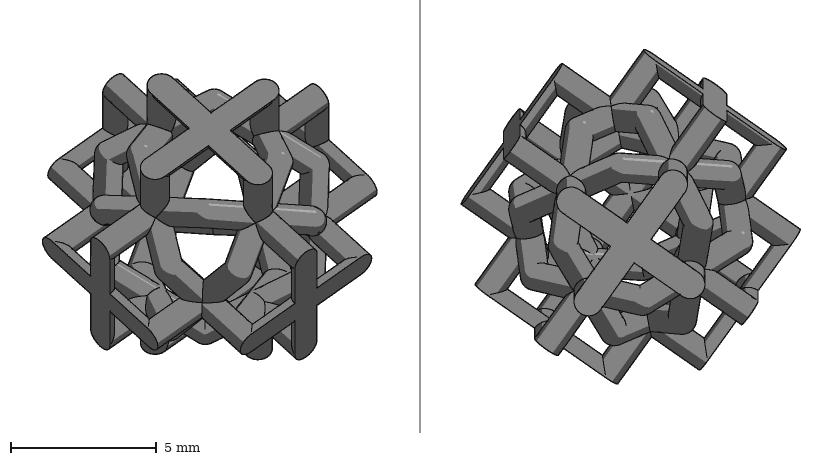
import cadquery as cq

cell_size = 10.0
strut_diameter = 1.0
strut_radius = strut_diameter / 2
face = cell_size / 2
joint = cell_size / 4
knee_inner = cell_size / 6
knee_outer = cell_size / 3
signs = (-1, 1)


def strut(start, end):
    """Round bar between two points."""
    axis = cq.Vector(*end) - cq.Vector(*start)
    return cq.Solid.makeCylinder(strut_radius, axis.Length, cq.Vector(*start), axis)


def ball(center):
    """Sphere that rounds off the struts meeting at a point."""
    return cq.Workplane("XY").sphere(strut_radius).translate(center).val()


def along(axis, depth, u, v):
    """Point at a depth along one axis, with u and v on the next two axes."""
    point = [0, 0, 0]
    point[axis] = depth
    point[(axis + 1) % 3] = u
    point[(axis + 2) % 3] = v
    return tuple(point)


def face_cross(axis, side):
    """Cross lying in one face, with a leg from each arm end in to a joint."""
    outer = side * face
    inner = side * joint
    bars = [
        strut(along(axis, outer, -joint, 0), along(axis, outer, joint, 0)),
        strut(along(axis, outer, 0, -joint), along(axis, outer, 0, joint)),
    ]
    for end in signs:
        for u, v in ((end * joint, 0), (0, end * joint)):
            bars.append(strut(along(axis, outer, u, v), along(axis, inner, u, v)))
    return bars


def face_ring(axis, side):
    """Eight-sided ring behind one face, rounded at its four raised knees."""
    inner = side * joint
    bars = []
    for u in signs:
        for v in signs:
            knee = along(axis, side * knee_outer, u * knee_inner, v * knee_inner)
            bars.append(ball(knee))
            bars.append(strut(knee, along(axis, inner, u * joint, 0)))
            bars.append(strut(knee, along(axis, inner, 0, v * joint)))
    return bars


def joint_balls(axis):
    """Balls at the four joints in the plane square to one axis."""
    return [ball(along(axis, 0, u * joint, v * joint)) for u in signs for v in signs]


pieces = []
for axis in range(3):
    pieces += joint_balls(axis)
    for side in signs:
        pieces += face_cross(axis, side)
        pieces += face_ring(axis, side)

lattice = cq.Workplane(pieces[0].fuse(*pieces[1:]))
result = lattice.intersect(cq.Workplane("XY").box(cell_size, cell_size, cell_size))